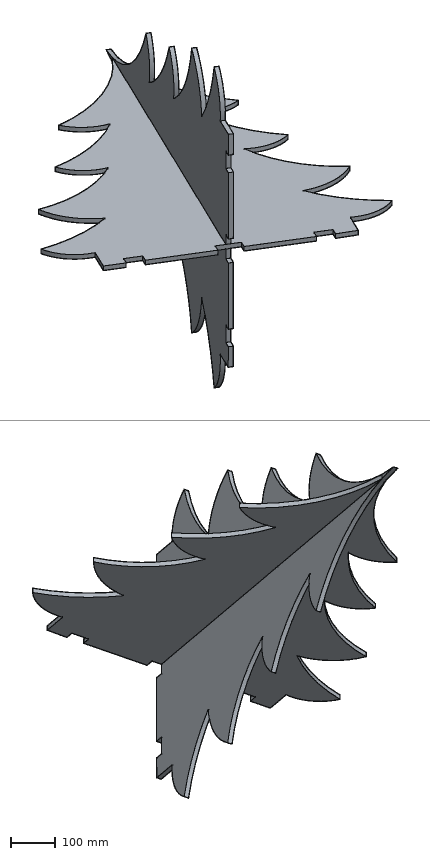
import cadquery as cq

length = 994.22
width = 828.63
thickness = 12.0

foot_half_width = 301.0
foot_start = 928.0
notch_depth = 21.0
centre_notch_half_width = 31.0
side_notch_inner = 202.0
side_notch_outer = 247.0
foot_bevel = 1.5

top_point = (0.0, 0.0)
branches = [
    ((324.5, 212.0), 390.0, (350.5, 98.0), 130.0),
    ((512.5, 275.0), 378.0, (549.0, 160.5), 123.5),
    ((695.0, 367.5), 326.0, (777.0, 233.5), 178.0),
    ((877.5, width / 2), 418.0, (foot_start, foot_half_width), 121.0),
]

notch_floor = length - notch_depth
slot_meeting = notch_floor / 2


def box_between(x_start, x_end, y_start, y_end):
    """Block through the full plate thickness between the given limits."""
    size_x = x_end - x_start
    size_y = y_end - y_start
    centre = ((x_start + x_end) / 2, (y_start + y_end) / 2, 0)
    return cq.Workplane("XY").box(size_x, size_y, thickness).translate(centre)


def half_tree():
    """Half of the outline on the +Y side, extruded about the XY plane."""
    outline = cq.Workplane("XY").moveTo(*top_point)
    for tip, leading_radius, inner_end, trailing_radius in branches:
        outline = outline.radiusArc(tip, -leading_radius)
        outline = outline.radiusArc(inner_end, trailing_radius)
    outline = outline.lineTo(length, foot_half_width).lineTo(length, 0).close()
    return outline.extrude(thickness / 2, both=True)


def foot_bevel_wedge():
    """Sliver that slopes the end of the +Y foot tab back toward its outer corner."""
    wedge = (
        cq.Workplane("XY")
        .moveTo(length, side_notch_outer)
        .lineTo(length, foot_half_width)
        .lineTo(length - foot_bevel, foot_half_width)
        .close()
    )
    return wedge.extrude(thickness / 2, both=True)


def tree_plate():
    """Whole unslotted plate in the XY plane, with its foot notches."""
    half = half_tree()
    plate = half.union(half.mirror("XZ"))
    notches = [
        (-side_notch_outer, -side_notch_inner),
        (-centre_notch_half_width, centre_notch_half_width),
        (side_notch_inner, side_notch_outer),
    ]
    for y_start, y_end in notches:
        plate = plate.cut(box_between(notch_floor, length, y_start, y_end))
    return plate.cut(foot_bevel_wedge())


def slot(x_start, x_end):
    """Slot along the X axis, as wide as the other plate is thick."""
    return box_between(x_start, x_end, -thickness / 2, thickness / 2)


horizontal_plate = tree_plate().cut(slot(0, slot_meeting))

vertical_plate = tree_plate().cut(slot(slot_meeting, length))
vertical_plate = vertical_plate.rotate((0, 0, 0), (1, 0, 0), -90)

result = cq.Compound.makeCompound(
    [horizontal_plate.solids().val(), vertical_plate.solids().val()]
)